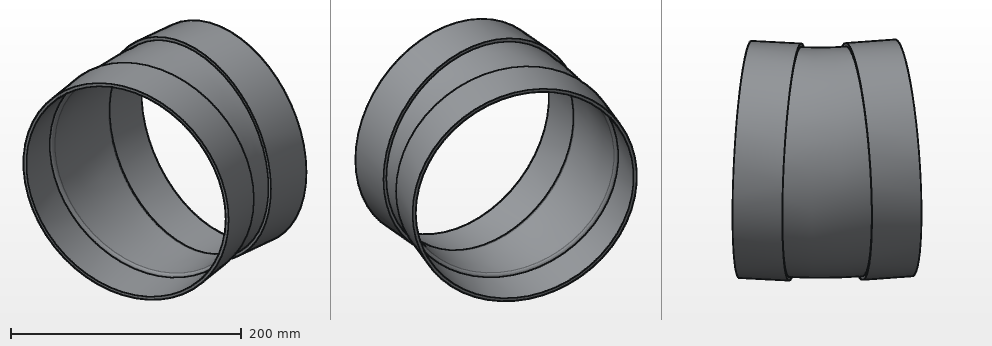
import cadquery as cq
import math

bend_angle = 15.0
socket_diameter = 206.0
wall = 3.0
socket_length = 43.5
leg_length = 69.2
stop_round = 3.0

socket_radius = socket_diameter / 2
tube_radius = socket_radius - wall
bore_radius = tube_radius - wall
bend_radius = (leg_length - socket_length) / math.tan(math.radians(bend_angle / 2))


def make_bend():
    """Ring section turned about a Z axis through the bend centre."""
    return (
        cq.Workplane("XZ", origin=(0, socket_length, 0))
        .circle(tube_radius)
        .circle(bore_radius)
        .revolve(bend_angle, (bend_radius, 2.2, 0), (bend_radius, 0, 0))
    )


def make_socket():
    """Socket along +Y from the origin, with a rounded stop at its inner end."""
    stop_depth = socket_length - stop_round
    round_start = bore_radius + stop_round
    round_offset = stop_round * (1 - math.sqrt(0.5))
    round_middle = (bore_radius + round_offset, stop_depth + round_offset)
    return (
        cq.Workplane("XY")
        .moveTo(tube_radius, 0)
        .lineTo(socket_radius, 0)
        .lineTo(socket_radius, socket_length)
        .lineTo(bore_radius, socket_length)
        .threePointArc(round_middle, (round_start, stop_depth))
        .close()
        .revolve(360, (0, 0, 0), (0, 1, 0))
    )


first_socket = make_socket()
second_socket = (
    first_socket.mirror("XZ", (0, leg_length, 0))
    .rotate((0, leg_length, 0), (0, leg_length, 1), -bend_angle)
)

result = make_bend().union(first_socket).union(second_socket)